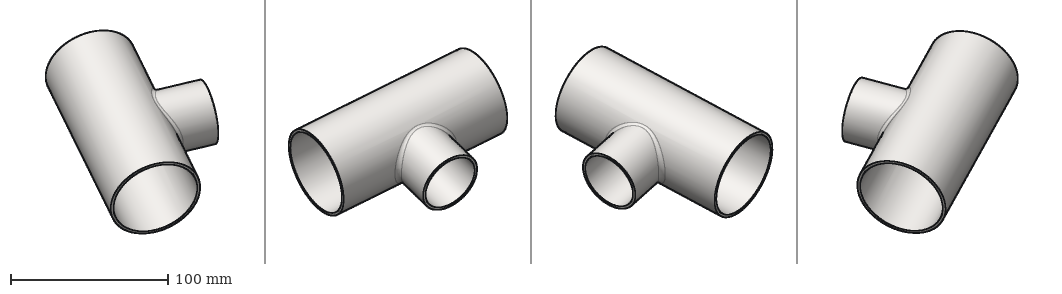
import cadquery as cq

run_length = 128.0
run_outer_diameter = 60.3
run_bore_diameter = 56.3

branch_outer_diameter = 42.4
branch_bore_diameter = 38.4
overall_width = 87.2
branch_reach = overall_width - run_outer_diameter / 2

junction_radius = 3.0


def run_cylinder(diameter):
    """Cylinder along X over the full pipe length, centred on the origin."""
    return cq.Workplane("ZY").circle(diameter / 2).extrude(run_length / 2, both=True)


def branch_cylinder(diameter):
    """Cylinder along +Y from the main pipe axis to the branch end."""
    return cq.Workplane("XZ").circle(diameter / 2).extrude(-branch_reach)


outer = run_cylinder(run_outer_diameter).union(branch_cylinder(branch_outer_diameter))
junction_zone = cq.selectors.BoxSelector(
    (-branch_outer_diameter, run_outer_diameter / 4, -branch_outer_diameter),
    (branch_outer_diameter, run_outer_diameter / 2, branch_outer_diameter),
)
outer = outer.edges(junction_zone).fillet(junction_radius)

result = outer.cut(run_cylinder(run_bore_diameter)).cut(branch_cylinder(branch_bore_diameter))